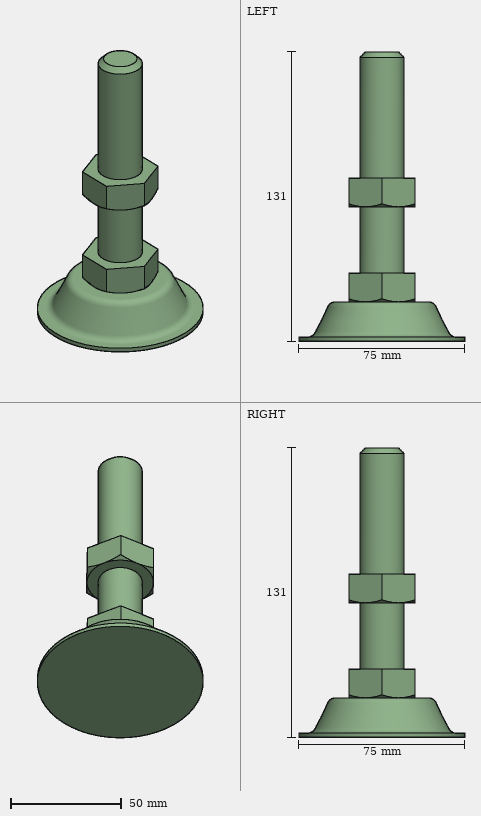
import cadquery as cq
import math

total_height = 131.0

flange_diameter = 75.0
flange_thickness = 2.0
foot_height = 18.0
hub_bottom_radius = 31.3
hub_top_radius = 23.5
hub_fillet = 3.9

rod_diameter = 20.0
rod_chamfer = 2.5

nut_across_flats = 30.0
nut_height = 13.0
nut_chamfer_angle = 30.0
nut_gap = 30.0
nut_across_corners = nut_across_flats / math.cos(math.radians(30))
lower_nut_z = foot_height
upper_nut_z = lower_nut_z + nut_height + nut_gap


def make_foot():
    """Revolved foot with its top rim and the root of its hub rounded."""
    flange_radius = flange_diameter / 2
    half_profile = [
        (0, 0),
        (flange_radius, 0),
        (flange_radius, flange_thickness),
        (hub_bottom_radius, flange_thickness),
        (hub_top_radius, foot_height),
        (0, foot_height),
    ]
    foot = cq.Workplane("XZ").polyline(half_profile).close().revolve(360, (0, 0, 0), (0, 1, 0))
    foot = foot.faces(">Z").edges().fillet(hub_fillet)
    hub_root = foot.faces("%CONE").edges("<Z")
    return hub_root.fillet(hub_fillet)


def make_rod():
    rod = cq.Workplane("XY", origin=(0, 0, foot_height)).circle(rod_diameter / 2)
    rod = rod.extrude(total_height - foot_height)
    return rod.faces(">Z").edges().chamfer(rod_chamfer)


def make_nut(bottom_z):
    """Hexagon nut with flats facing +Y and -Y and its lower corners cut by a cone."""
    hexagon = cq.Workplane("XY").polygon(6, nut_across_corners).extrude(nut_height)

    cone_bottom_radius = nut_across_flats / 2
    cone_top_radius = cone_bottom_radius + nut_height / math.tan(math.radians(nut_chamfer_angle))
    cone = cq.Workplane(cq.Solid.makeCone(cone_bottom_radius, cone_top_radius, nut_height))

    bore = cq.Workplane("XY").circle(rod_diameter / 2).extrude(nut_height)
    nut = hexagon.intersect(cone).cut(bore)
    return nut.translate((0, 0, bottom_z))


foot = make_foot()
rod = make_rod()
nuts = [make_nut(bottom_z) for bottom_z in (lower_nut_z, upper_nut_z)]

result = cq.Compound.makeCompound([
    foot.solids().val(),
    rod.solids().val(),
    *[nut.solids().val() for nut in nuts],
])